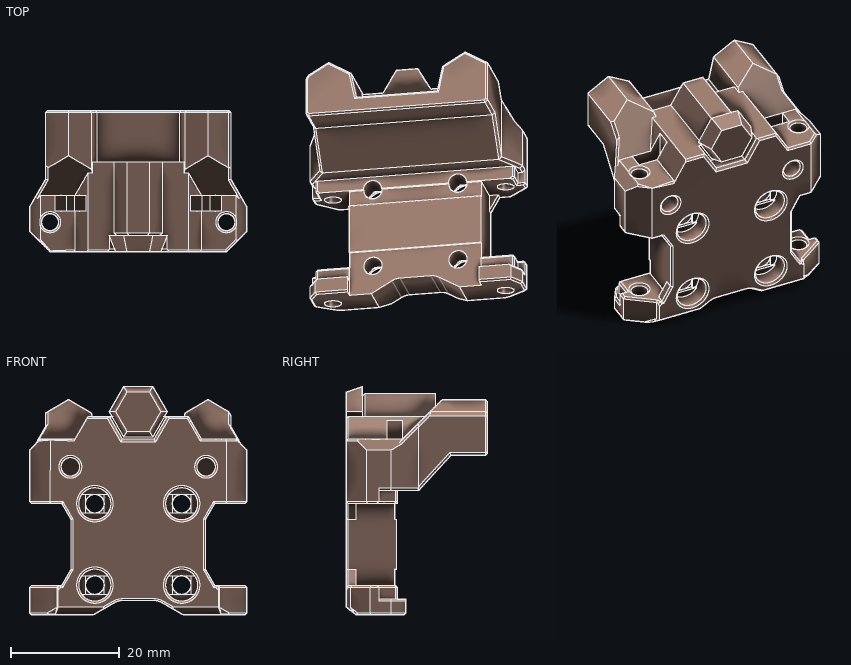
import cadquery as cq
import math

width = 40.0
depth = 26.0
height = 42.1
half_width = width / 2
edge_chamfer = 0.35
far = 60.0

web_half_width = 12.4
web_back = 8.95
pad_back = 9.3
middle_z = 13.0
pad_half_height = 4.6
notch_half_height = 7.55
gusset_depth = 1.8
gusset_reach = 14.1

lower_top = middle_z - notch_half_height
upper_bottom = middle_z + notch_half_height
ledge_z = 32.4
ledge_bevel = 2.0
wing_back = 9.45
wing_side_end = 8.3
flank_angle = 30.0
upper_front_half = 16.25
step_front = 6.0
step_inset = 1.3
tongue_back = 11.0
tongue_top = 2.9

lower_front_half = 14.75
lower_lip_half = 15.0
lower_lip_y = 0.8
lower_side_start = 4.4
toe_bevel_y = 1.85
toe_bevel_z = 1.45
toe_corner_chamfer = 0.5
arch_height = 2.65
arch_half_width = 8.3
arch_slope = 30.0
arch_radius = 3.0

arm_half_width = 17.1
arm_bottom = 22.9
arm_chamfer = 0.5
arm_post_y = 19.3
arm_post_bottom = 29.4
post_peak_z = 39.7
post_peak_x = 12.85
post_shoulder_z = 37.2
post_inner_x = 8.6
bridge_half_width = 7.6
bridge_z = 32.4
arm_slope_y = 10.4

crown_z = 36.55
crown_half_top = 9.25
crown_back = 16.5
crown_slope = 60.0
ridge_z = 40.85
ridge_half_top = 2.03
ridge_chamfer = 0.5

plug_length = 3.0
plug_back_apothem = 4.65
plug_front_apothem = 3.6
pocket_apothem = 5.05
pocket_chamfer = 0.5
plug_z = height - plug_back_apothem

screw_x = 8.0
screw_pitch = 15.0
screw_low_z = middle_z - screw_pitch / 2
screw_diameter = 3.4
screw_head_diameter = 5.9
screw_head_depth = 3.3
bridge_layer = 0.3
nut_bolt_x = 12.5
nut_bolt_z = 27.3
nut_bolt_end = 12.0
nut_width = 5.7
nut_slot_front = 7.5
nut_slot_back = arm_slope_y
nut_flat = 1.5
wing_hole_x = 16.25
wing_hole_y = 5.45
wing_hole_diameter = 3.1
hole_chamfer = 0.4


def tan(degrees):
    return math.tan(math.radians(degrees))


def extrude_y(points, start, end):
    """Outline in X and Z, extruded from y = start to y = end."""
    return cq.Workplane("XZ", origin=(0, start, 0)).polyline(points).close().extrude(start - end)


def extrude_z(points, start, end):
    """Outline in X and Y, extruded from z = start to z = end."""
    return cq.Workplane("XY", origin=(0, 0, start)).polyline(points).close().extrude(end - start)


def extrude_x(points):
    """Outline in Y and Z, extruded across the whole width."""
    return cq.Workplane("YZ").polyline(points).close().extrude(half_width, both=True)


def mirrored(points):
    """Right half of an outline, completed with its mirror image in X."""
    return points + [(-x, v) for x, v in reversed(points)]


def both_sides(solid):
    return solid.union(solid.mirror("YZ"))


def cylinder_y(x, z, diameter, start, end):
    return cq.Workplane("XZ", origin=(x, start, z)).circle(diameter / 2).extrude(start - end)


def box(x_range, y_range, z_range):
    ranges = (x_range, y_range, z_range)
    sizes = [high - low for low, high in ranges]
    return cq.Workplane("XY").box(*sizes, centered=False).translate([low for low, high in ranges])


def flank_x(y):
    """Half width of the inward-turning flank at depth y."""
    return half_width - (y - wing_side_end) * tan(flank_angle)


arm_flank_y = wing_side_end + (half_width - arm_half_width) / tan(flank_angle)


def make_web():
    outline = mirrored([(web_half_width, 0), (web_half_width, ledge_z)])
    web = extrude_y(outline, 0, web_back)
    pad_z = (middle_z - pad_half_height, middle_z + pad_half_height)
    pad = box((-web_half_width, web_half_width), (0, pad_back), pad_z)
    gusset = extrude_y(
        mirrored([
            (gusset_reach, middle_z - notch_half_height),
            (web_half_width, middle_z - pad_half_height),
            (web_half_width, middle_z + pad_half_height),
            (gusset_reach, middle_z + notch_half_height),
        ]),
        0, gusset_depth,
    )
    return web.union(pad).union(gusset)


def is_outer_edge(edge):
    """True for the wing edges outside the gusset, apart from the front face."""
    centre = edge.Center()
    return centre.x > gusset_reach and centre.y > 0


def step_pocket(bottom, top):
    """Shallow pocket in the flank of the right wing, open at the rear."""
    pocket = box((half_width - step_inset, far), (step_front, far), (bottom, top))
    return pocket.union(box((0, far), (wing_back, far), (bottom, top)))


def is_step_corner(edge):
    """True for the upright rear corner of a pocketed wing."""
    centre = edge.Center()
    return centre.x > gusset_reach and abs(centre.y - wing_back) < edge_chamfer


def is_flank_edge(edge):
    """True for the side edge and the inward-turning edge behind it."""
    centre = edge.Center()
    return centre.x > upper_front_half and step_front <= centre.y < arm_slope_y


def make_upper_wings():
    front_bevel = half_width - upper_front_half
    plan = [
        (0, 0),
        (upper_front_half, 0),
        (half_width, front_bevel),
        (half_width, wing_side_end),
        (flank_x(arm_slope_y), arm_slope_y),
        (0, arm_slope_y),
    ]
    base_top = arm_bottom + arm_chamfer
    base = extrude_z(plan, upper_bottom, base_top).cut(step_pocket(upper_bottom, base_top))
    base = base.edges("|Z").filter(is_step_corner).chamfer(edge_chamfer)
    base = base.faces("<Z").edges().filter(is_outer_edge).chamfer(edge_chamfer)

    wing = extrude_z(plan, arm_bottom, ledge_z)
    wing = wing.faces("<Z").edges().filter(is_flank_edge).chamfer(arm_chamfer)
    front_edge = cq.selectors.NearestToPointSelector((half_width, 0, ledge_z))
    wing = wing.faces(">Z").edges(front_edge).chamfer(edge_chamfer)
    bevel = [
        (half_width, ledge_z - ledge_bevel),
        (half_width - ledge_bevel, ledge_z),
        (half_width, ledge_z),
    ]
    wing = wing.cut(extrude_y(bevel, 0, arm_slope_y))
    return both_sides(wing.union(base))


def is_toe_corner(edge):
    """True for the slanted edge between the toe bevel and the wing front."""
    start, end = sorted((edge.startPoint(), edge.endPoint()), key=lambda point: point.x)
    return (start.x > lower_front_half and start.y < lower_side_start
            and 0 < end.z < start.z < toe_bevel_z)


def make_lower_wings():
    plan = [
        (0, 0),
        (lower_front_half, 0),
        (lower_lip_half, lower_lip_y),
        (half_width, lower_side_start),
        (half_width, wing_side_end),
        (flank_x(tongue_back), tongue_back),
        (web_half_width, tongue_back),
        (web_half_width, web_back),
        (0, web_back),
    ]
    tongue = extrude_z(plan, 0, tongue_top)
    tongue = tongue.faces("<Z").edges().filter(is_outer_edge).chamfer(edge_chamfer)
    tongue = tongue.faces(">Z").edges().filter(is_flank_edge).chamfer(edge_chamfer)

    base_bottom = tongue_top - edge_chamfer
    step = extrude_z(plan, base_bottom, lower_top).cut(step_pocket(base_bottom, lower_top))
    step = step.edges("|Z").filter(is_step_corner).chamfer(edge_chamfer)
    step = step.faces(">Z").edges().filter(is_outer_edge).chamfer(edge_chamfer)
    wing = tongue.union(step).cut(make_toe_bevel())
    wing = wing.edges().filter(is_toe_corner).chamfer(toe_corner_chamfer)
    return both_sides(wing)


def has_arm_chamfer(edge):
    """True for the slanted and lower edges of the arm flanks, and the right shoulder edge."""
    centre = edge.Center()
    on_flank = abs(centre.x) > arm_half_width - edge_chamfer
    upright = abs(edge.tangentAt(0.5).z) > math.cos(math.radians(flank_angle))
    on_end = wing_side_end + edge_chamfer > centre.y or centre.y > depth - edge_chamfer
    on_shoulder = centre.z > post_shoulder_z - edge_chamfer
    return on_flank and not upright and not on_end and (centre.x > 0 or not on_shoulder)


def make_arms():
    arm_front = wing_side_end
    post_rise = post_peak_z - ledge_z
    side = extrude_x([
        (arm_front, arm_bottom),
        (arm_flank_y, arm_bottom),
        (arm_post_y, arm_post_bottom),
        (depth, arm_post_bottom),
        (depth, post_peak_z),
        (arm_slope_y + post_rise, post_peak_z),
        (arm_front, ledge_z - arm_slope_y + arm_front),
    ])
    plan = extrude_z(
        mirrored([
            (half_width, arm_front),
            (arm_half_width, arm_flank_y),
            (arm_half_width, depth),
        ]),
        0, far,
    )
    roof_slope = (post_peak_z - post_shoulder_z) / (post_peak_x - post_inner_x)
    front = extrude_y(
        mirrored([
            (half_width, 0),
            (half_width, post_peak_z - (half_width - post_peak_x) * roof_slope),
            (post_peak_x, post_peak_z),
            (post_inner_x, post_shoulder_z),
            (bridge_half_width, bridge_z),
        ]),
        0, depth,
    )
    arms = side.intersect(plan).intersect(front)
    arms = arms.edges().filter(has_arm_chamfer).chamfer(arm_chamfer)
    return arms.faces(">Y").chamfer(edge_chamfer)


def make_crown():
    foot = crown_half_top + (crown_z - arm_post_bottom) / tan(crown_slope)
    crown = extrude_y(mirrored([(foot, arm_post_bottom), (crown_half_top, crown_z)]), 0, crown_back)
    ridge_foot = ridge_half_top + (ridge_z - arm_post_bottom) / tan(crown_slope)
    ridge_outline = mirrored([(ridge_foot, arm_post_bottom), (ridge_half_top, ridge_z)])
    ridge = extrude_y(ridge_outline, plug_length, crown_back)
    ridge = ridge.faces("<Y").edges("not <Z").chamfer(ridge_chamfer)
    return crown.union(ridge)


def make_toe_bevel():
    return extrude_x([(0, 0), (toe_bevel_y, 0), (0, toe_bevel_z)])


def make_arch():
    half_top = arch_half_width - arch_height / tan(arch_slope)
    outline = mirrored([(arch_half_width, 0), (half_top, arch_height)])
    return extrude_y(outline, 0, depth).edges("|Y and >Z").fillet(arch_radius)


def hexagon(y, apothem):
    """Hexagonal outline at depth y, centred on the plug axis, with a flat on top."""
    across_corners = 2 * apothem / math.cos(math.radians(30))
    return cq.Workplane("XZ", origin=(0, y, plug_z)).polygon(6, across_corners)


def make_plug_pocket():
    pocket = hexagon(0, pocket_apothem).extrude(-plug_length)
    mouth = hexagon(0, pocket_apothem + pocket_chamfer).extrude(-pocket_chamfer, taper=45)
    return pocket.union(mouth)


def make_countersink_y(x, z, diameter):
    radius = diameter / 2
    cone = cq.Solid.makeCone(radius + hole_chamfer, radius, hole_chamfer,
                             pnt=cq.Vector(x, 0, z), dir=cq.Vector(0, 1, 0))
    return cq.Workplane(obj=cone)


def make_screw_hole(x, z):
    """Counterbored hole whose floor steps from a slot to a square to the round hole."""
    half = screw_diameter / 2
    slot_end = screw_head_depth + bridge_layer
    square_end = slot_end + bridge_layer
    z_range = (z - half, z + half)
    slot = cylinder_y(x, z, screw_head_diameter, screw_head_depth, slot_end)
    slot = slot.intersect(box((-far, far), (0, far), z_range))
    square = box((x - half, x + half), (screw_head_depth, square_end), z_range)
    hole = cylinder_y(x, z, screw_head_diameter, 0, screw_head_depth)
    hole = hole.union(make_countersink_y(x, z, screw_head_diameter))
    hole = hole.union(slot).union(square)
    return hole.union(cylinder_y(x, z, screw_diameter, 0, wing_back))


def make_nut_hole(x):
    """Blind bolt hole and the nut slot that crosses it from above."""
    half = nut_width / 2
    half_flat = nut_flat / 2
    corner_drop = half * tan(30)
    flat_drop = corner_drop + (half - half_flat) * tan(30)
    slot_outline = mirrored([
        (half_flat, nut_bolt_z - flat_drop),
        (half, nut_bolt_z - corner_drop),
        (half, crown_z),
    ])
    slot = extrude_y(slot_outline, nut_slot_front, nut_slot_back).translate((x, 0, 0))
    bolt = cylinder_y(x, nut_bolt_z, screw_diameter, 0, nut_bolt_end)
    return slot.union(bolt).union(make_countersink_y(x, nut_bolt_z, screw_diameter))


def make_wing_hole(x):
    """Vertical hole through both wings, countersunk at the top of each."""
    radius = wing_hole_diameter / 2
    hole = cq.Workplane("XY").center(x, wing_hole_y).circle(radius).extrude(ledge_z)
    for top in (lower_top, ledge_z):
        cone = cq.Solid.makeCone(radius + hole_chamfer, radius, hole_chamfer,
                                 pnt=cq.Vector(x, wing_hole_y, top), dir=cq.Vector(0, 0, -1))
        hole = hole.union(cq.Workplane(obj=cone))
    return hole


def has_front_chamfer(edge):
    """True for the front edges except the toe bevel, the wing bevels and the left crown flank."""
    centre = edge.Center()
    on_toe = abs(centre.z - toe_bevel_z) < edge_chamfer
    on_bevel = abs(centre.x) > upper_front_half - edge_chamfer or (
        abs(centre.x) > gusset_reach + edge_chamfer and centre.z < lower_top - edge_chamfer)
    on_crown_flank = crown_half_top < -centre.x < web_half_width and ledge_z < centre.z < crown_z
    return not (on_toe or on_bevel or on_crown_flank)


def make_housing():
    housing = make_web().union(make_upper_wings()).union(make_lower_wings())
    housing = housing.union(make_arms()).union(make_crown())
    housing = housing.cut(make_toe_bevel()).cut(make_arch()).clean()
    housing = housing.faces("<Y").edges().filter(has_front_chamfer).chamfer(edge_chamfer)
    housing = housing.cut(make_plug_pocket())
    for side in (-1, 1):
        for z in (screw_low_z, screw_low_z + screw_pitch):
            housing = housing.cut(make_screw_hole(side * screw_x, z))
        housing = housing.cut(make_nut_hole(side * nut_bolt_x))
        housing = housing.cut(make_wing_hole(side * wing_hole_x))
    return housing


def make_plug():
    taper = math.degrees(math.atan((plug_back_apothem - plug_front_apothem) / plug_length))
    return hexagon(plug_length, plug_back_apothem).extrude(plug_length, taper=taper)


housing = make_housing()
plug = make_plug()
result = cq.Compound.makeCompound([housing.val(), plug.val()])